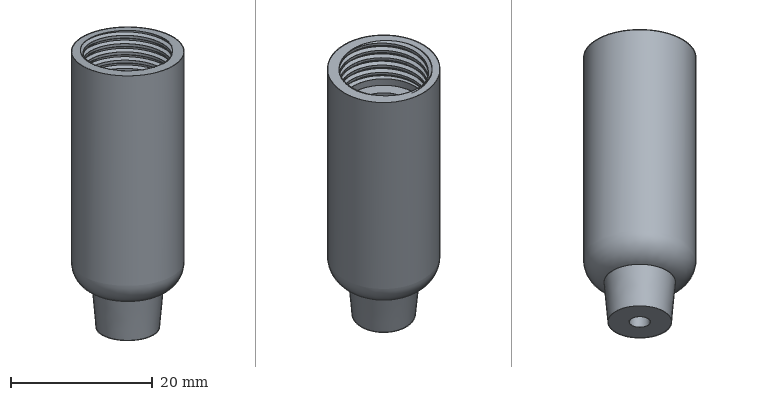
import cadquery as cq
import math

total_height = 43.2
body_radius = 7.95
shoulder_top_z = 10.25
shoulder_radius = 3.9
nozzle_tip_radius = 4.5
nozzle_root_radius = 5.05

socket_radius = 6.3
socket_depth = 7.65
chamber_radius = 4.55
chamber_floor_z = 10.35
funnel_radius = 3.0
funnel_depth = 1.05
outlet_radius = 1.49

thread_pitch = 1.3
thread_depth = 0.5
thread_length = 6.1
runout_turns = 0.6
runout_tip_scale = 0.1
groove_mouth = 0.85
groove_root = 0.25
thread_overlap = 0.1
thread_phase = 165.0


def make_body():
    """Outer shape: straight wall, rounded shoulder and tapered nozzle."""
    arc_center_radius = body_radius - shoulder_radius
    arc_middle_offset = shoulder_radius * math.sqrt(0.5)
    nozzle_root_offset = nozzle_root_radius - arc_center_radius
    nozzle_root_z = shoulder_top_z - math.sqrt(shoulder_radius**2 - nozzle_root_offset**2)
    return (
        cq.Workplane("XZ")
        .lineTo(nozzle_tip_radius, 0)
        .lineTo(nozzle_root_radius, nozzle_root_z)
        .threePointArc(
            (arc_center_radius + arc_middle_offset, shoulder_top_z - arc_middle_offset),
            (body_radius, shoulder_top_z),
        )
        .lineTo(body_radius, total_height)
        .lineTo(0, total_height)
        .close()
        .revolve(360, (0, 0, 0), (0, 1, 0))
    )


def make_bore():
    """Socket, narrower chamber, funnel and outlet hole."""
    socket_floor_z = total_height - socket_depth
    funnel_bottom_z = chamber_floor_z - funnel_depth
    return (
        cq.Workplane("XZ")
        .lineTo(outlet_radius, 0)
        .lineTo(outlet_radius, funnel_bottom_z)
        .lineTo(funnel_radius, chamber_floor_z)
        .lineTo(chamber_radius, chamber_floor_z)
        .lineTo(chamber_radius, socket_floor_z)
        .lineTo(socket_radius, socket_floor_z)
        .lineTo(socket_radius, total_height)
        .lineTo(0, total_height)
        .close()
        .revolve(360, (0, 0, 0), (0, 1, 0))
    )


def spiral(start, end, turns):
    """Right-hand spiral between two (radius, height) points, growing evenly in both."""
    growth = end[0] - start[0]
    rise = end[1] - start[1]
    if growth == 0:
        wire = cq.Wire.makeHelix(rise / turns, rise, start[0])
    else:
        slant = math.hypot(growth, rise)
        cone_angle = math.degrees(math.atan2(growth, rise))
        wire = cq.Wire.makeHelix(slant / turns, slant, start[0], angle=cone_angle)
    return wire.translate(cq.Vector(0, 0, start[1]))


def spiral_bar(start_section, end_section, turns):
    """Solid that winds from one four-cornered section to another."""
    spirals = [spiral(start, end, turns) for start, end in zip(start_section, end_section)]
    neighbours = zip(spirals, spirals[1:] + spirals[:1])
    faces = [cq.Face.makeRuledSurface(first, second) for first, second in neighbours]
    for position in (0, 1):
        corners = [wire.positionAt(position) for wire in spirals]
        faces.append(cq.Face.makeFromWires(cq.Wire.makePolygon(corners, close=True)))
    return cq.Solid.makeSolid(cq.Shell.makeShell(faces))


def groove_section(center_z, scale=1.0):
    """Trapezoid of the groove as (radius, height), shrunk towards its upper inner corner."""
    slope = (groove_mouth - groove_root) / thread_depth
    inner_width = groove_mouth + slope * thread_overlap
    inner_radius = socket_radius - thread_overlap
    outer_radius = inner_radius + scale * (thread_overlap + thread_depth)
    top_z = center_z + inner_width / 2
    outer_inset = scale * (inner_width - groove_root) / 2
    return [
        (inner_radius, top_z - scale * inner_width),
        (outer_radius, top_z - scale * inner_width + outer_inset),
        (outer_radius, top_z - outer_inset),
        (inner_radius, top_z),
    ]


def cut_thread(part):
    """Cut the fading start of the groove, then its full section out through the top face."""
    full_start_z = total_height - thread_length
    runout_start_z = full_start_z - runout_turns * thread_pitch
    full_turns = thread_length / thread_pitch + 1
    full_end_z = full_start_z + full_turns * thread_pitch

    full_section = groove_section(full_start_z)
    runout = spiral_bar(groove_section(runout_start_z, runout_tip_scale), full_section, runout_turns)
    full = spiral_bar(full_section, groove_section(full_end_z), full_turns)

    full_start_angle = thread_phase - 360 * thread_length / thread_pitch
    runout_start_angle = full_start_angle - 360 * runout_turns
    for bar, angle in ((runout, runout_start_angle), (full, full_start_angle)):
        part = part.cut(cq.Workplane(bar).rotate((0, 0, 0), (0, 0, 1), angle))
    return part


result = cut_thread(make_body().cut(make_bore()))